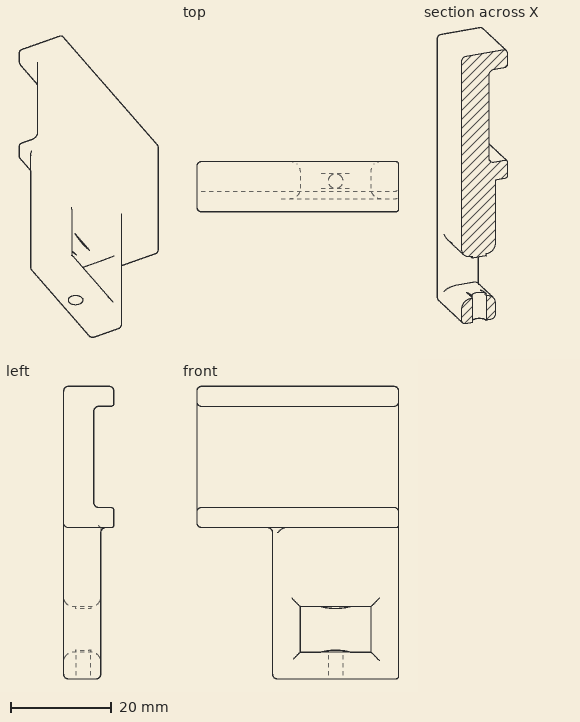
import cadquery as cq

width = 40.0
depth = 10.0
height = 58.0

block_height = 28.0
block_bottom = height - block_height
lip_height = 4.0
channel_depth = 4.0
channel_bottom = block_bottom + lip_height
channel_top = height - lip_height
channel_corner_radius = 1.0

tab_width = 25.0
tab_left = width - tab_width
tab_front = 2.6
tab_center_x = tab_left + tab_width / 2

main_radius = 1.0
right_edge_radius = 0.6
lip_edge_radius = 0.5
tab_root_radius = 1.0

window_width = 14.0
window_height = 9.0
window_bottom = 5.35
window_top = window_bottom + window_height
window_mouth_radius = 2.0

pad_width = 6.0
pad_length = 3.0
pad_rise = 0.4
pad_front = tab_front + window_mouth_radius
pad_back = pad_front + pad_length
hole_diameter = 2.9
hole_center_y = (pad_front + pad_back) / 2

pick = 0.01


def box(x0, x1, y0, y1, z0, z1):
    """Block between two opposite corners."""
    return cq.Workplane("XY").box(x1 - x0, y1 - y0, z1 - z0, centered=False).translate((x0, y0, z0))


def round_edges(body, radius, boxes):
    """Round the edges whose middle points lie inside any of the given (x0, x1, y0, y1, z0, z1) boxes."""
    chosen = []
    for x0, x1, y0, y1, z0, z1 in boxes:
        picker = cq.selectors.BoxSelector(
            (x0 - pick, y0 - pick, z0 - pick), (x1 + pick, y1 + pick, z1 + pick)
        )
        chosen += body.edges(picker).vals()
    return body.newObject(chosen).fillet(radius)


def make_block_and_tab():
    """Body with the channel corners, the tab's front left edge and the root of its left side rounded."""
    block = box(0, width, 0, depth, block_bottom, height)
    channel = box(0, width, 0, channel_depth, channel_bottom, channel_top)
    channel = channel.edges("|X and >Y").fillet(channel_corner_radius)
    tab = box(tab_left, width, tab_front, depth, 0, block_bottom)
    tab = tab.edges("|Z and <X and <Y").fillet(main_radius)
    root_outline = (
        cq.Workplane("XZ", origin=(tab_left, depth, block_bottom))
        .moveTo(-tab_root_radius, 0)
        .radiusArc((0, -tab_root_radius), tab_root_radius)
        .lineTo(main_radius, -tab_root_radius)
        .lineTo(main_radius, 0)
        .close()
    )
    root = root_outline.extrude(depth - tab_front - main_radius)
    return block.cut(channel).union(tab).union(root)


def round_outer_edges(body):
    """Round the outside: main edges first, then the right-hand edges, then the long edges of the lips."""
    left_side = (0, 0, 0, depth, block_bottom, height)
    top = (0, width, 0, depth, height, height)
    back = (0, width - main_radius, depth, depth, 0, height)
    tab_bottom = (tab_left, width - main_radius, tab_front, depth, 0, 0)
    channel_right_end = (width, width, main_radius, channel_depth, channel_bottom, channel_top)
    body = round_edges(body, main_radius, [left_side, top, back, tab_bottom, channel_right_end])

    back_right = (width, width, depth, depth, 0, height - main_radius)
    lower_lip_right = (width, width, 0, 0, block_bottom, channel_bottom)
    upper_lip_right = (width, width, 0, 0, channel_top, height - main_radius)
    tab_front_right = (width, width, tab_front, tab_front, main_radius, block_bottom - main_radius)
    body = round_edges(
        body, right_edge_radius, [back_right, lower_lip_right, upper_lip_right, tab_front_right]
    )

    lip_levels = [block_bottom, channel_bottom, channel_top]
    lip_edges = [(main_radius, width - main_radius, 0, 0, z, z) for z in lip_levels]
    return round_edges(body, lip_edge_radius, lip_edges)


def make_root_flare():
    """Ring that carries the root rounding around the tab's rounded front left edge."""
    outer_radius = main_radius + tab_root_radius
    return (
        cq.Workplane("XZ", origin=(tab_left + main_radius, tab_front + main_radius, block_bottom))
        .moveTo(0, -tab_root_radius)
        .lineTo(main_radius, -tab_root_radius)
        .radiusArc((outer_radius, 0), tab_root_radius)
        .lineTo(0, 0)
        .close()
        .revolve(360, (0, 0, 0), (0, 1, 0))
    )


def make_window():
    """Cutter for the window: straight in the middle, widening along a quarter arc to each mouth."""
    left = tab_center_x - window_width / 2
    right = tab_center_x + window_width / 2
    plate = box(tab_left, width, tab_front, depth, 0, block_bottom)
    opening = box(left, right, tab_front, depth, window_bottom, window_top)
    frame = plate.cut(opening)
    mouths = [(left, right, y, y, window_bottom, window_top) for y in (tab_front, depth)]
    frame = round_edges(frame, window_mouth_radius, mouths)
    return plate.cut(frame)


def make_pad(base_z, rise):
    """Arched pad on the window floor (positive rise) or roof (negative rise)."""
    half_width = pad_width / 2
    return (
        cq.Workplane("XZ", origin=(tab_center_x, pad_back, base_z))
        .moveTo(-half_width, 0)
        .threePointArc((0, rise), (half_width, 0))
        .close()
        .extrude(pad_back - pad_front)
    )


def make_hole():
    """Cutter for the upright hole, from the middle of the window down through the bottom of the tab."""
    return (
        cq.Workplane("XY", origin=(tab_center_x, hole_center_y, 0))
        .circle(hole_diameter / 2)
        .extrude(window_bottom + window_height / 2)
    )


result = (
    round_outer_edges(make_block_and_tab())
    .union(make_root_flare())
    .cut(make_window())
    .union(make_pad(window_bottom, pad_rise))
    .union(make_pad(window_top, -pad_rise))
    .cut(make_hole())
)